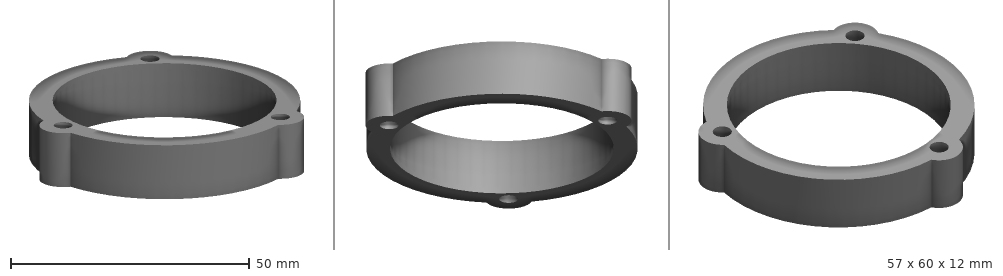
import cadquery as cq

ring_outer_diameter = 57.0
ring_bore_diameter = 47.0
height = 12.0

lug_count = 3
lug_radius = 5.0
lug_circle_radius = 26.5
first_lug_angle = -90.0
screw_hole_diameter = 4.0


def lug_positions():
    """Workplane with one point at the centre of each screw lug."""
    return cq.Workplane("XY").polarArray(lug_circle_radius, first_lug_angle, 360, lug_count)


def make_body():
    """Solid disc joined with the round screw lugs."""
    disc = cq.Workplane("XY").circle(ring_outer_diameter / 2).extrude(height)
    lugs = lug_positions().circle(lug_radius).extrude(height)
    return disc.union(lugs)


def make_openings():
    """Central bore and the screw holes, all running through the full height."""
    bore = cq.Workplane("XY").circle(ring_bore_diameter / 2).extrude(height)
    screw_holes = lug_positions().circle(screw_hole_diameter / 2).extrude(height)
    return bore.union(screw_holes)


result = make_body().cut(make_openings())